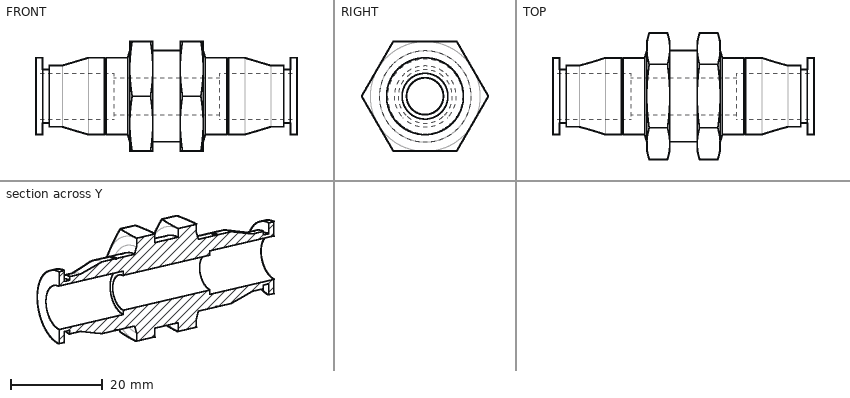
import cadquery as cq
import math


total_length = 57.0
release_flange_thickness = 1.45
neck_length = 1.4
sleeve_length = 2.9
taper_length = 5.65
shoulder_chamfer = 0.5
groove_depth = 0.2
socket_depth = 17.0

half_length = total_length / 2
release_flange_inner = half_length - release_flange_thickness
sleeve_end = release_flange_inner - neck_length
taper_small_end = sleeve_end - sleeve_length
taper_large_end = taper_small_end - taper_length
groove_middle = 13.37
groove_inner = groove_middle - groove_depth
groove_outer = groove_middle + groove_depth

nut_width = 24.0
nut_thickness = 5.0
nut_inner_face = 3.0
nut_outer_face = nut_inner_face + nut_thickness
nut_chamfer_depth = 0.5
corner_diameter = nut_width / math.cos(math.pi / 6)

thread_diameter = 20.0
barrel_diameter = 16.8
sleeve_diameter = 13.44
neck_diameter = 11.76
groove_diameter = barrel_diameter - 2 * groove_depth
socket_diameter = 10.0
bore_diameter = 8.0


def revolve_about_x(profile):
    """Solid of revolution of a closed list of (x, radius) points about the X axis."""
    return cq.Workplane("XZ").polyline(profile).close().revolve(360, (0, 0, 0), (1, 0, 0))


def make_body():
    """Turned body, symmetric about X = 0, before boring."""
    thread_radius = thread_diameter / 2
    barrel_radius = barrel_diameter / 2
    sleeve_radius = sleeve_diameter / 2
    neck_radius = neck_diameter / 2
    groove_radius = groove_diameter / 2
    right_half = [
        (nut_outer_face, thread_radius),
        (nut_outer_face + shoulder_chamfer, barrel_radius),
        (groove_inner, barrel_radius),
        (groove_middle, groove_radius),
        (groove_outer, barrel_radius),
        (taper_large_end, barrel_radius),
        (taper_small_end, sleeve_radius),
        (sleeve_end, sleeve_radius),
        (sleeve_end, neck_radius),
        (release_flange_inner, neck_radius),
        (release_flange_inner, barrel_radius),
        (half_length, barrel_radius),
        (half_length, 0),
    ]
    left_half = [(-x, radius) for x, radius in reversed(right_half)]
    return revolve_about_x(left_half + right_half)


def make_nut():
    """Hexagon nut on the +X side, corners along Y, both faces chamfered to the flats."""
    hexagon = (
        cq.Workplane("YZ")
        .workplane(offset=nut_inner_face)
        .polygon(6, corner_diameter)
        .extrude(nut_thickness)
    )
    face_radius = nut_width / 2
    corner_radius = corner_diameter / 2
    profile = [
        (nut_inner_face, 0),
        (nut_inner_face, face_radius),
        (nut_inner_face + nut_chamfer_depth, corner_radius),
        (nut_outer_face - nut_chamfer_depth, corner_radius),
        (nut_outer_face, face_radius),
        (nut_outer_face, 0),
    ]
    return hexagon.intersect(revolve_about_x(profile))


def make_bore_cylinder(diameter, start, length):
    """Cylinder on the X axis, running toward +X from the given start."""
    return cq.Workplane("YZ").workplane(offset=start).circle(diameter / 2).extrude(length)


nut = make_nut()
solid = make_body().union(nut).union(nut.mirror("YZ"))
through_bore = make_bore_cylinder(bore_diameter, -half_length, total_length)
socket = make_bore_cylinder(socket_diameter, half_length - socket_depth, socket_depth)
result = solid.cut(through_bore).cut(socket).cut(socket.mirror("YZ"))